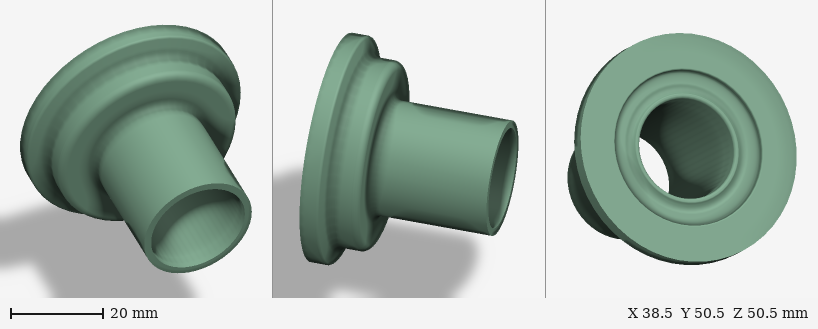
import cadquery as cq
import math


length = 38.5
flange_radius = 25.25
shoulder_radius = 42.0 / 2
tube_radius = 25.4 / 2
bore_radius = 22.1 / 2
shoulder_end = 12.0

rim_width = 3.6
slope_angle = math.radians(20)
rim_round = 0.65
neck_round = 1.9
shoulder_round = 1.65
tube_round = 1.6

recess_radius = 34.4 / 2
recess_depth = 1.4
recess_edge_round = 0.3
recess_floor_round = 0.45

groove_center_radius = 13.45
groove_round = 1.6
groove_edge_radius = 14.45
groove_edge_round = 1.3
lip_crest_radius = 11.85
lip_groove_round = 0.4
lip_bore_round = 0.55

join_tolerance = 5.05e-07


def arc_to(profile, center, radius, start, end):
    """Add an arc about (x, r) center between two angles, joined by a line where there is a gap."""
    def point(angle):
        return (center[0] + radius * math.cos(angle), center[1] + radius * math.sin(angle))
    current = profile.val()
    current = current.endPoint() if isinstance(current, cq.Edge) else current
    if math.dist(point(start), (current.x, current.y)) > join_tolerance:
        profile = profile.lineTo(*point(start))
    return profile.threePointArc(point((start + end) / 2), point(end))


right = 0.0
up = math.pi / 2
left = math.pi

rim_center = (rim_width, flange_radius - rim_round)
slope_drop = flange_radius - shoulder_radius - (rim_round + neck_round) * (1 - math.cos(up - slope_angle))
slope_run = slope_drop * math.tan(slope_angle)
neck_center = (
    rim_width + (rim_round + neck_round) * math.cos(slope_angle) + slope_run,
    shoulder_radius + neck_round,
)

profile = cq.Workplane("XY").moveTo(0, recess_radius + recess_edge_round).lineTo(0, flange_radius)
profile = arc_to(profile, rim_center, rim_round, up, slope_angle)
profile = arc_to(profile, neck_center, neck_round, left + slope_angle, left + up)
profile = arc_to(
    profile, (shoulder_end - shoulder_round, shoulder_radius - shoulder_round), shoulder_round, up, right
)
profile = arc_to(
    profile, (shoulder_end + tube_round, tube_radius + tube_round), tube_round, left, left + up
)
profile = profile.lineTo(length, tube_radius).lineTo(length, bore_radius)

edge_span = groove_round + groove_edge_round
lip_span = groove_round + lip_groove_round
edge_angle = math.asin((groove_edge_radius - groove_center_radius) / edge_span)
lip_angle = math.asin((groove_center_radius - lip_crest_radius) / lip_span)
groove_center_x = recess_depth + groove_edge_round - edge_span * math.cos(edge_angle)
lip_center_x = groove_center_x + lip_span * math.cos(lip_angle)
lip_top = lip_center_x - lip_groove_round

profile = arc_to(
    profile, (lip_top + lip_bore_round, bore_radius + lip_bore_round), lip_bore_round, -up, -left
)
profile = arc_to(profile, (lip_center_x, lip_crest_radius), lip_groove_round, left, left - lip_angle)
profile = arc_to(profile, (groove_center_x, groove_center_radius), groove_round, -lip_angle, edge_angle)
profile = arc_to(
    profile,
    (recess_depth + groove_edge_round, groove_edge_radius),
    groove_edge_round,
    left + edge_angle,
    left,
)

profile = arc_to(
    profile,
    (recess_depth - recess_floor_round, recess_radius - recess_floor_round),
    recess_floor_round,
    right,
    up,
)
profile = arc_to(
    profile, (recess_edge_round, recess_radius + recess_edge_round), recess_edge_round, -up, -left
)

result = profile.close().revolve(360, (0, 0, 0), (1, 0, 0))